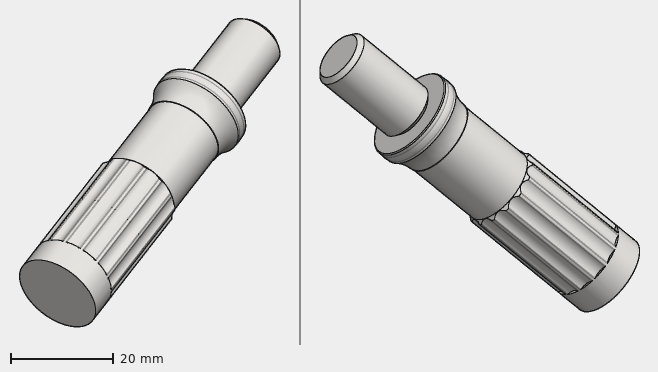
import cadquery as cq
import math

total_length = 76
grip_end_y = -total_length / 2
pin_end_y = total_length / 2

pin_length = 20.0
pin_radius = 6.0
pin_chamfer = 1.0

bulge_radius = 9.7
rim_radius = 9.65
rim_edge_chamfer = 0.2
front_rim_width = 1.0
bulge_width = 1.6
rear_rim_width = 0.5
flare_length = 4.95
flare_end_radius = 8.1

shaft_radius = 8.0
grip_radius = 8.7
grip_length = 31.0
collar_length = 6.0

flute_count = 14
land_width = 0.75
flute_depth = 0.645
land_edge_fillet = 0.15

flange_y = pin_end_y - pin_length
bulge_front_y = flange_y - front_rim_width
bulge_rear_y = bulge_front_y - bulge_width
flare_front_y = bulge_rear_y - rear_rim_width
flare_end_y = flare_front_y - flare_length
grip_start_y = grip_end_y + grip_length
collar_start_y = grip_end_y + collar_length


def make_body():
    """Turned body: half profile in (Y, radius), revolved about the Y axis."""
    pin_tip_radius = pin_radius - pin_chamfer
    grip_chamfer = grip_radius - shaft_radius
    flare_drop = rim_radius - flare_end_radius
    flare_radius = (flare_length**2 + flare_drop**2) / (2 * flare_drop)
    half_sweep = math.asin(flare_length / flare_radius) / 2
    flare_middle = (
        flare_end_y + flare_radius * math.sin(half_sweep),
        flare_end_radius + flare_radius * (1 - math.cos(half_sweep)),
    )
    profile = (
        cq.Workplane("YZ")
        .moveTo(grip_end_y, 0)
        .lineTo(grip_end_y, grip_radius)
        .lineTo(grip_start_y - grip_chamfer, grip_radius)
        .lineTo(grip_start_y, shaft_radius)
        .lineTo(flare_end_y, shaft_radius)
        .lineTo(flare_end_y, flare_end_radius)
        .threePointArc(flare_middle, (flare_front_y, rim_radius))
        .lineTo(bulge_rear_y, rim_radius)
        .threePointArc(
            ((bulge_rear_y + bulge_front_y) / 2, bulge_radius),
            (bulge_front_y, rim_radius),
        )
        .lineTo(flange_y - rim_edge_chamfer, rim_radius)
        .lineTo(flange_y, rim_radius - rim_edge_chamfer)
        .lineTo(flange_y, pin_tip_radius)
        .lineTo(flange_y + pin_chamfer, pin_radius)
        .lineTo(pin_end_y - pin_chamfer, pin_radius)
        .lineTo(pin_end_y, pin_tip_radius)
        .lineTo(pin_end_y, 0)
        .close()
    )
    return profile.revolve(360, (0, 0, 0), (1, 0, 0))


def make_flute_cutters():
    """Round bars spaced about Y, leaving narrow lands between concave flutes."""
    half_flute_angle = math.pi / flute_count - math.asin(land_width / 2 / grip_radius)
    half_chord = grip_radius * math.sin(half_flute_angle)
    chord_distance = grip_radius * math.cos(half_flute_angle)
    floor_distance = grip_radius - flute_depth
    sagitta = chord_distance - floor_distance
    cutter_radius = (half_chord**2 + sagitta**2) / (2 * sagitta)
    return (
        cq.Workplane("XZ", origin=(0, grip_start_y, 0))
        .polarArray(floor_distance + cutter_radius, 180 / flute_count, 360, flute_count)
        .circle(cutter_radius)
        .extrude(grip_start_y - collar_start_y)
    )


def round_land_edges(body):
    """Round the long edges where the flutes meet the lands."""
    along_axis = cq.selectors.ParallelDirSelector(cq.Vector(0, 1, 0))
    reach = 2 * grip_radius
    in_flutes = cq.selectors.BoxSelector(
        (-reach, collar_start_y, -reach),
        (reach, grip_start_y, reach),
    )
    return body.edges(along_axis & in_flutes).fillet(land_edge_fillet)


fluted_body = make_body().cut(make_flute_cutters())
result = round_land_edges(fluted_body)